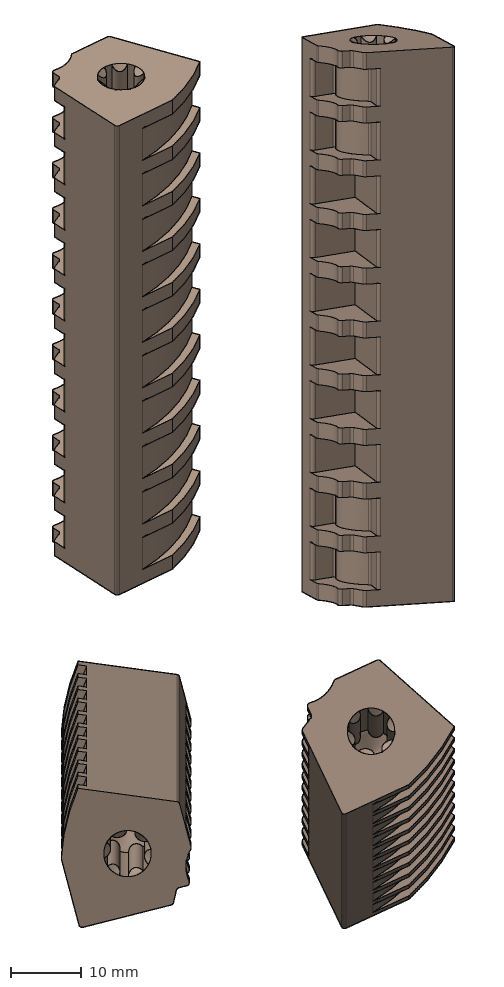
import cadquery as cq
import math

length = 80.0
width = 18.2
depth = 19.8
apex_x = 13.4
slant_start_y = 14.2
bow_end_y = 10.4
bow_radius = 30.4
edge_radius = 0.5

scoop_radius = 5.0
scoop_center_y = 3.6
notch_x = 1.6
notch_y = 2.2
ramp_start_x = 3.4
ramp_end_x = 4.6

window_count = 10
window_height = 5.4
end_margin = 2.4
window_pitch = (length - 2 * end_margin - window_height) / (window_count - 1)
mouth_x = 6.5
mouth_y = 9.7
side_lean = 5.0
groove_depth = 1.2

hole_x = 9.0
hole_y = 8.8
hole_radius = 3.4
hole_depth = 15.2
tip_angle = 118.0
tip_depth = hole_radius / math.tan(math.radians(tip_angle / 2))
lobe_count = 6
lobe_radius = 1.2
lobe_circle_radius = 3.64
first_lobe_angle = 23.0
lead_depth = 0.8

walled_windows = 2
wall_radius = hole_radius + 2.0
tight_fillet_radius = 0.2


def point_on_circle(center, radius, angle):
    """Point at an angle in radians on a circle."""
    return (center[0] + radius * math.cos(angle), center[1] + radius * math.sin(angle))


def round_corners(solid, corners, height, radius):
    """Round the upright edges nearest to the given XY corners."""
    for corner in corners:
        nearest = cq.selectors.NearestToPointSelector((*corner, height / 2))
        solid = solid.edges("|Z").edges(nearest).fillet(radius)
    return solid


def bow_center():
    """Center of the arc that runs from the right face up to the apex."""
    rise = depth - bow_end_y
    run = width - apex_x
    half_chord = math.hypot(rise, run) / 2
    reach = math.sqrt(bow_radius**2 - half_chord**2)
    chord_middle = ((width + apex_x) / 2, (depth + bow_end_y) / 2)
    return point_on_circle(chord_middle, reach, math.atan2(-run, -rise))


def make_bar():
    """Full-length bar with its bowed face and front left notch."""
    center = bow_center()
    start_angle = math.atan2(bow_end_y - center[1], width - center[0])
    end_angle = math.atan2(depth - center[1], apex_x - center[0])
    bow_middle = point_on_circle(center, bow_radius, (start_angle + end_angle) / 2)

    scoop_center_x = notch_x - scoop_radius
    scoop_start = (0, scoop_center_y + math.sqrt(scoop_radius**2 - scoop_center_x**2))
    scoop_end_angle = math.asin((notch_y - scoop_center_y) / scoop_radius)
    scoop_end = point_on_circle((scoop_center_x, scoop_center_y), scoop_radius, scoop_end_angle)

    bar = (
        cq.Workplane("XY")
        .moveTo(ramp_end_x, 0)
        .lineTo(width, 0)
        .lineTo(width, bow_end_y)
        .threePointArc(bow_middle, (apex_x, depth))
        .lineTo(0, slant_start_y)
        .lineTo(*scoop_start)
        .threePointArc((notch_x, scoop_center_y), scoop_end)
        .lineTo(ramp_start_x, notch_y)
        .close()
        .extrude(length)
    )
    rounded = [
        (ramp_end_x, 0),
        (width, 0),
        (0, slant_start_y),
        scoop_start,
        scoop_end,
        (ramp_start_x, notch_y),
    ]
    return round_corners(bar, rounded, length, edge_radius)


def make_window(walled):
    """Cutter for one window; a walled one leaves a round wall about the screw hole."""
    slant = (depth - slant_start_y) / apex_x
    lean = math.tan(math.radians(side_lean))
    back_x = (mouth_x + lean * mouth_y) / (1 - lean * slant)
    back_y = mouth_y + slant * back_x

    lip = 2 * edge_radius
    mouth = [(0, mouth_y), (mouth_x, 0)]
    outline = [
        (-lip, mouth_y + lip),
        (0, mouth_y + lip),
        mouth[0],
        (back_x, back_y),
        mouth[1],
        (mouth_x + lip, 0),
        (mouth_x + lip, -lip),
        (-lip, -lip),
    ]
    window = cq.Workplane("XY").polyline(outline).close().extrude(window_height)
    window = round_corners(window, mouth, window_height, edge_radius)
    if not walled:
        return window

    wall = cq.Workplane("XY").center(hole_x, hole_y).circle(wall_radius).extrude(window_height)
    outer_part = cq.selectors.NearestToPointSelector((0, 0, 0))
    window = window.cut(wall).solids(outer_part)

    slant_angle = math.atan(slant)
    slant_gap = (mouth_y + slant * hole_x - hole_y) * math.cos(slant_angle)
    slant_meet_angle = math.pi + slant_angle - math.asin(slant_gap / wall_radius)
    slant_meet = point_on_circle((hole_x, hole_y), wall_radius, slant_meet_angle)
    lean_angle = math.radians(side_lean)
    lean_gap = (hole_x - mouth_x - lean * hole_y) * math.cos(lean_angle)
    lean_meet_angle = 1.5 * math.pi - lean_angle - math.asin(lean_gap / wall_radius)
    lean_meet = point_on_circle((hole_x, hole_y), wall_radius, lean_meet_angle)

    window = round_corners(window, [slant_meet], window_height, tight_fillet_radius)
    return round_corners(window, [lean_meet], window_height, edge_radius)


def make_groove():
    """Cutter for one shallow groove that follows the bowed face."""
    return (
        cq.Workplane("XY")
        .center(*bow_center())
        .circle(bow_radius + groove_depth)
        .circle(bow_radius - groove_depth)
        .extrude(window_height)
    )


def make_hole():
    """Cutter for the blind hole at z = 0: conical tip, round gripping lobes and a lead-in."""
    core = (
        cq.Workplane("XZ")
        .lineTo(hole_radius, 0)
        .lineTo(hole_radius, hole_depth)
        .lineTo(0, hole_depth + tip_depth)
        .close()
        .revolve(360, (0, 0), (0, 1))
    )
    lobes = (
        cq.Workplane("XY")
        .polarArray(lobe_circle_radius, first_lobe_angle, 360, lobe_count)
        .circle(lobe_radius)
        .extrude(hole_depth + tip_depth)
    )
    lead_in = (
        cq.Workplane("XY")
        .circle(hole_radius)
        .workplane(offset=lead_depth)
        .circle(lobe_circle_radius - lobe_radius)
        .loft()
    )
    return core.cut(lobes).union(lead_in).translate((hole_x, hole_y, 0))


result = make_bar()

open_window = make_window(walled=False)
walled_window = make_window(walled=True)
groove = make_groove()
for index in range(window_count):
    near_end = min(index, window_count - 1 - index) < walled_windows
    window = walled_window if near_end else open_window
    lift = (0, 0, end_margin + index * window_pitch)
    result = result.cut(window.translate(lift)).cut(groove.translate(lift))

bottom_hole = make_hole()
top_hole = bottom_hole.mirror("XY").translate((0, 0, length))
result = result.cut(bottom_hole).cut(top_hole).solids()